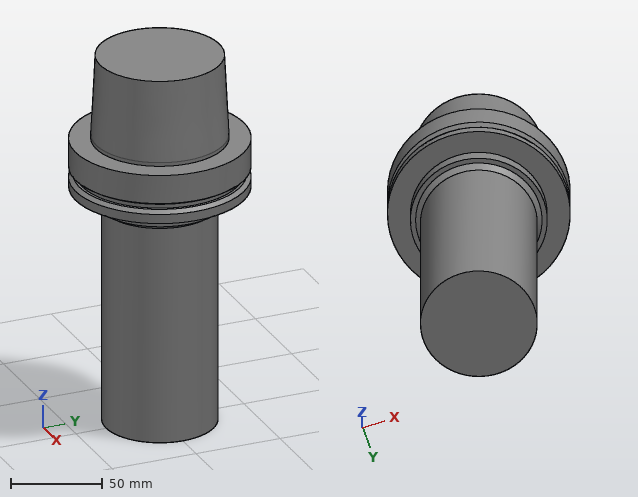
import cadquery as cq

total_height = 219.0

shank_radius = 64.0 / 2
shank_top = 129.0

collar_radius = 75.0 / 2
collar_bottom = 132.5
cone_radius = 34.5

flange_radius = 100.0 / 2
groove_lip_inset = 2.5
flange_bottom = 140.2
flange_top = 169.0
groove_floor_radius = 92.0 / 2
groove_lip_radius = flange_radius - groove_lip_inset
groove_bottom = 147.5
groove_top = 150.7
lower_chamfer_height = 2.0
upper_chamfer_height = 1.5

spigot_base_radius = 75.8 / 2
spigot_top_radius = 71.0 / 2
band_height = 2.2

profile = [
    (0, 0),
    (shank_radius, 0),
    (shank_radius, shank_top),
    (cone_radius, collar_bottom),
    (collar_radius, collar_bottom),
    (collar_radius, flange_bottom),
    (flange_radius, flange_bottom),
    (flange_radius, groove_bottom - lower_chamfer_height),
    (groove_lip_radius, groove_bottom),
    (groove_floor_radius, groove_bottom),
    (groove_floor_radius, groove_top),
    (groove_lip_radius, groove_top),
    (flange_radius, groove_top + upper_chamfer_height),
    (flange_radius, flange_top),
    (spigot_base_radius, flange_top),
    (spigot_base_radius, flange_top + band_height),
    (spigot_top_radius, total_height),
    (0, total_height),
]

result = cq.Workplane("XZ").polyline(profile).close().revolve(360, (0, 0), (0, 1))